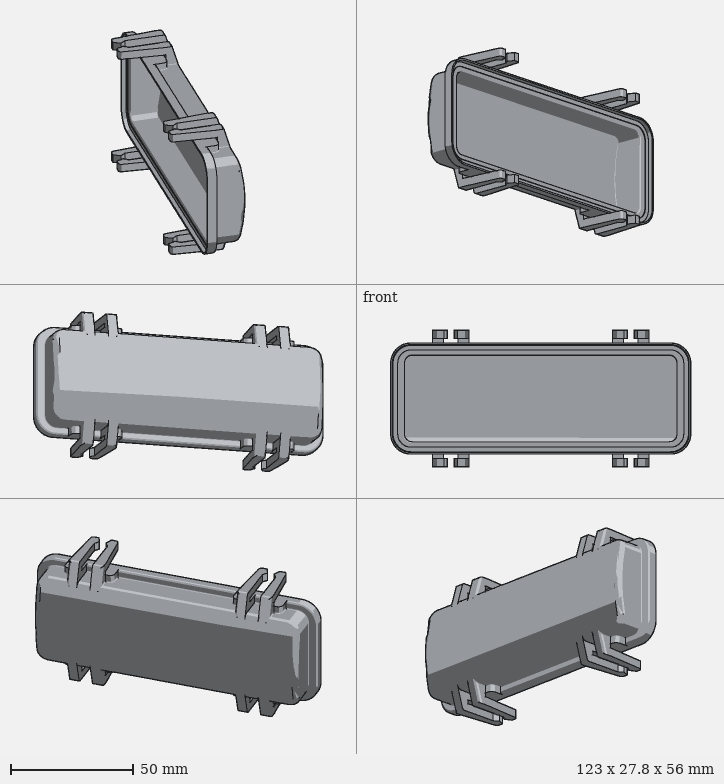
import cadquery as cq
import math


overall_length = 123.0
overall_depth = 27.82
overall_height = 56.0
arm_reach = 10.0
crown_y = overall_depth - arm_reach

flange_height = 45.6
flange_thickness = 4.3
flange_corner_radius = 8.3
flange_edge_radius = 1.0

body_length = 115.4
body_height = 39.2
body_corner_radius = 5.0
body_back_radius = 2.4
crown_radius = 68.0
wall = 1.9
cavity_floor_radius = 0.4
root_radius = 0.4

lip_width = 0.7
lip_draft = 0.3
seat_depth = 1.8
step_offset = 2.9
step_depth = 2.1
mouth_radius = 0.7

tolerance = 0.001

latch_x = 36.85
arm_inner = 2.9
arm_outer = 7.5
arm_tip_outer = 5.85
arm_thickness = 3.5
arm_underside_y = 9.5
arm_taper_start_y = 8.9
arm_edge_radius = 1.2
tip_edge_radius = 1.3
arm_root_z = 14.6
barb_tip = 1.4
barb_start_y = -4.8
barb_peak_y = -6.9
barb_end = 2.75
pad_outer = 10.9
pad_corner_radius = 2.1

crown_half = body_height / 2
crown_edge_y = crown_y - crown_radius + math.sqrt(crown_radius**2 - crown_half**2)
crown_slope = math.tan(math.asin(crown_half / crown_radius))


def rounded_prism(length, height, corner_radius, y_start, y_end, taper=0):
    """Rounded rectangle in XZ from y_start to y_end, narrowing by taper degrees."""
    outline = cq.Sketch().rect(length, height).vertices().fillet(corner_radius)
    plane = cq.Workplane("XZ", origin=(0, y_start, 0))
    return plane.placeSketch(outline).extrude(y_start - y_end, taper=taper)


def flange_inset(offset, y_end, taper=0):
    """Prism from the mouth to y_end whose outline is the flange outline moved inward."""
    return rounded_prism(
        overall_length - 2 * offset,
        flange_height - 2 * offset,
        flange_corner_radius - offset,
        0,
        y_end,
        taper,
    )


def under_crown(drop, length):
    """Everything below the crowned back, lowered by drop."""
    half = overall_height
    end_y = crown_edge_y - crown_slope * (half - crown_half)
    bottom_y = -2 * arm_reach
    profile = (
        cq.Workplane("YZ", origin=(-length / 2, 0, 0))
        .moveTo(bottom_y, -half)
        .lineTo(end_y - drop, -half)
        .lineTo(crown_edge_y - drop, -crown_half)
        .threePointArc((crown_y - drop, 0), (crown_edge_y - drop, crown_half))
        .lineTo(end_y - drop, half)
        .lineTo(bottom_y, half)
        .close()
    )
    return profile.extrude(length)


def body():
    block = rounded_prism(body_length, body_height, body_corner_radius, 0, crown_y + 1)
    block = block.intersect(under_crown(0, overall_length))
    return block.faces(">Y").edges().fillet(body_back_radius)


def flange():
    plate = flange_inset(0, flange_thickness)
    return plate.faces(">Y").edges().fillet(flange_edge_radius)


def cavity():
    hollow = rounded_prism(
        body_length - 2 * wall, body_height - 2 * wall, body_corner_radius - wall, 0, crown_y
    )
    hollow = hollow.intersect(under_crown(wall, overall_length))
    return hollow.faces(">Y").edges().fillet(cavity_floor_radius)


def seal_recess():
    """Stepped seat for a seal: a drafted recess inside the lip and a deeper inner step."""
    taper = math.degrees(math.atan(lip_draft / seat_depth))
    seat = flange_inset(lip_width, seat_depth, taper)
    return seat.union(flange_inset(step_offset, step_depth))


def arm():
    """Arm of a latch centred on X = 0, on its +X side and at the top of the cover."""
    top = overall_height / 2
    inside = top - arm_thickness
    outline = (
        cq.Workplane("XY")
        .moveTo(arm_inner, crown_y)
        .lineTo(arm_inner, barb_start_y)
        .lineTo(barb_tip, barb_peak_y)
        .lineTo(barb_end, -arm_reach)
        .lineTo(arm_tip_outer, -arm_reach)
        .lineTo(arm_outer, arm_taper_start_y)
        .lineTo(arm_outer, crown_y)
        .close()
        .extrude(top)
        .edges("|Z")
        .edges(cq.NearestToPointSelector((arm_tip_outer, -arm_reach, inside)))
        .fillet(tip_edge_radius)
    )
    side = (
        cq.Workplane("YZ")
        .moveTo(-arm_reach, top)
        .lineTo(-arm_reach, inside)
        .lineTo(arm_underside_y, inside)
        .lineTo(arm_underside_y, arm_root_z)
        .lineTo(crown_y, arm_root_z)
        .lineTo(crown_y, top)
        .close()
        .extrude(arm_outer)
    )
    blade = outline.intersect(side).intersect(under_crown(0, overall_length))
    slope_middle = (crown_half + top) / 2
    slope_middle_y = crown_edge_y - crown_slope * (slope_middle - crown_half)
    end_y = crown_edge_y - crown_slope * (top - crown_half)
    outer_edge = cq.NearestToPointSelector((arm_outer, slope_middle_y, slope_middle))
    end_edge = cq.NearestToPointSelector(((arm_inner + arm_outer) / 2, end_y, top))
    return blade.edges(outer_edge + end_edge).fillet(arm_edge_radius)


def pad():
    """Pad that carries an arm, flush with the flange and rooted in the body wall."""
    bottom = crown_half - wall / 2
    start_y = flange_thickness - flange_edge_radius
    plate = (
        cq.Workplane("XY", origin=(arm_inner, start_y, bottom))
        .rect(pad_outer - arm_inner, arm_underside_y - start_y, centered=False)
        .extrude(flange_height / 2 - bottom)
    )
    return plate.edges("|Z and >X and >Y").fillet(pad_corner_radius)


def latches():
    """Every arm with its pad: two latches on each long side, two arms in each latch."""
    right_half = pad().union(arm())
    pair = right_half.union(right_half.mirror("YZ"))
    pair = pair.union(pair.mirror("XY"))
    return pair.translate((-latch_x, 0, 0)).union(pair.translate((latch_x, 0, 0)))


def lies_on_plane(edge, y, half_x, half_z):
    """True for an edge in the plane Y = y, within half_x and half_z of the Y axis."""
    box = edge.BoundingBox()
    in_plane = abs(box.ymax - y) < tolerance and abs(box.ymin - y) < tolerance
    inside_x = max(box.xmax, -box.xmin) < half_x + tolerance
    inside_z = max(box.zmax, -box.zmin) < half_z + tolerance
    return in_plane and inside_x and inside_z


def is_root_edge(edge):
    """True where the flange, a pad or the outer side of an arm meets the body wall."""
    on_flange_back = lies_on_plane(edge, flange_thickness, body_length / 2, crown_half)
    box = edge.BoundingBox()
    flat = box.zmax - box.zmin < tolerance
    on_long_side = flat and abs(abs(box.zmax) - crown_half) < tolerance
    from_latch = abs(abs(edge.Center().x) - latch_x)
    at_latch = arm_inner + tolerance < from_latch < pad_outer + tolerance
    return on_flange_back or (on_long_side and at_latch)


def is_mouth_edge(edge):
    """True where the cavity wall meets the inner step of the seal recess."""
    return lies_on_plane(edge, step_depth, body_length / 2 - wall, body_height / 2 - wall)


outside = body().union(flange()).union(latches())
outside = outside.edges().filter(is_root_edge).fillet(root_radius)
hollowed = outside.cut(cavity()).cut(seal_recess())
result = hollowed.edges().filter(is_mouth_edge).fillet(mouth_radius)